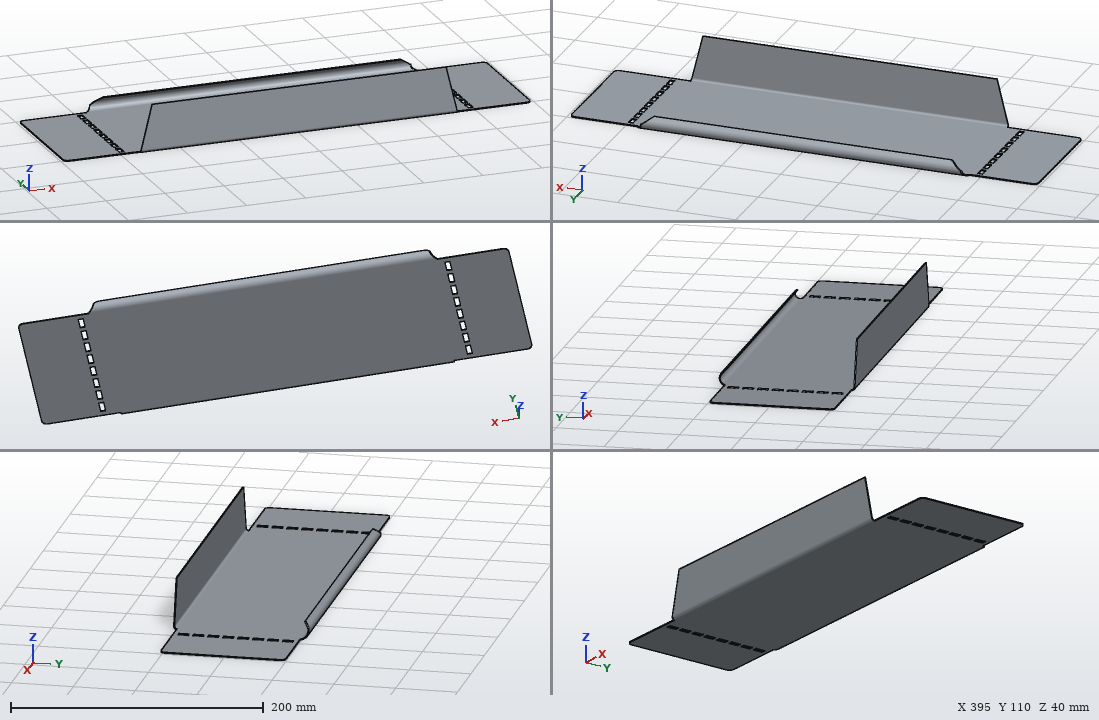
import cadquery as cq
import math

thickness = 1.0
length = 395.0
depth = 110.0
height = 40.0

plate_front = -52.0
plate_back = 49.0
corner_radius = 4.0

wall_half_width_bottom = 134.3
wall_half_width_top = 124.5
wall_bend_radius = depth / 2 + plate_front

hook_bend_radius = 5.0
hook_fold_angle = 135.0
hook_height = 12.0
hook_half_width_root = 140.5
hook_half_width_outermost = 135.0
hook_half_width_tip = 125.5

slot_count = 8
slot_row_span = 84.5
slot_width = 4.0
slot_length = 8.3
slot_row_x = 147.7

plate_depth = plate_back - plate_front
plate_center_y = (plate_front + plate_back) / 2


def mirrored_trapezoid(plane, start, start_half_width, end, end_half_width):
    """Symmetric outline whose width changes between two levels."""
    return (
        cq.Workplane(plane)
        .moveTo(-start_half_width, start)
        .lineTo(start_half_width, start)
        .lineTo(end_half_width, end)
        .lineTo(-end_half_width, end)
        .close()
    )


def make_plate():
    plate = (
        cq.Workplane("XY")
        .center(0, plate_center_y)
        .rect(length, plate_depth)
        .extrude(thickness)
        .edges("|Z")
        .fillet(corner_radius)
    )
    slots = (
        cq.Workplane("XY")
        .center(0, plate_center_y)
        .rarray(2 * slot_row_x, slot_row_span / (slot_count - 1), 2, slot_count)
        .rect(slot_width, slot_length)
        .extrude(thickness)
    )
    return plate.cut(slots)


def make_wall():
    front = -depth / 2
    inner_radius = wall_bend_radius - thickness
    diagonal = math.sqrt(0.5)
    center_y = front + wall_bend_radius
    center_z = wall_bend_radius
    section = (
        cq.Workplane("YZ")
        .moveTo(center_y, 0)
        .threePointArc(
            (center_y - wall_bend_radius * diagonal, center_z - wall_bend_radius * diagonal),
            (front, center_z),
        )
        .lineTo(front, height)
        .lineTo(front + thickness, height)
        .lineTo(front + thickness, center_z)
        .threePointArc(
            (center_y - inner_radius * diagonal, center_z - inner_radius * diagonal),
            (center_y, thickness),
        )
        .close()
        .extrude(wall_half_width_bottom, both=True)
    )
    outline = mirrored_trapezoid(
        "XZ", 0, wall_half_width_bottom, height, wall_half_width_top
    ).extrude(depth, both=True)
    return section.intersect(outline)


def make_hook():
    back = depth / 2
    center_y = back - hook_bend_radius
    center_z = hook_bend_radius
    inner_radius = hook_bend_radius - thickness
    fold = math.radians(hook_fold_angle)

    def bend_point(radius, angle):
        return (center_y + radius * math.sin(angle), center_z - radius * math.cos(angle))

    outer_end = bend_point(hook_bend_radius, fold)
    lip_length = (hook_height - outer_end[1]) / math.sin(fold)
    lip_y = lip_length * math.cos(fold)
    lip_z = lip_length * math.sin(fold)
    inner_end = bend_point(inner_radius, fold)
    section = (
        cq.Workplane("YZ")
        .moveTo(plate_back, 0)
        .lineTo(center_y, 0)
        .threePointArc(bend_point(hook_bend_radius, fold / 2), outer_end)
        .line(lip_y, lip_z)
        .lineTo(inner_end[0] + lip_y, inner_end[1] + lip_z)
        .lineTo(*inner_end)
        .threePointArc(bend_point(inner_radius, fold / 2), (center_y, thickness))
        .lineTo(plate_back, thickness)
        .close()
        .extrude(hook_half_width_root, both=True)
    )
    lower_outline = mirrored_trapezoid(
        "XY", plate_back, hook_half_width_root, back, hook_half_width_outermost
    ).extrude(center_z)
    upper_outline = mirrored_trapezoid(
        "XZ", center_z, hook_half_width_outermost, hook_height, hook_half_width_tip
    ).extrude(depth, both=True)
    return section.intersect(lower_outline).union(section.intersect(upper_outline))


result = make_plate().union(make_wall()).union(make_hook())